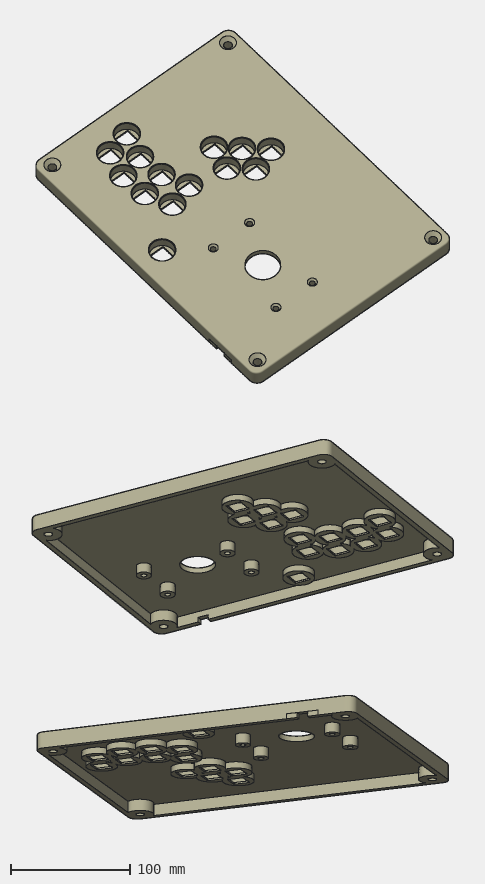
import cadquery as cq

length = 288.4
width = 217.7
height = 14.7
corner_radius = 8.0
edge_rounding = 1.7
wall = 5.0
top_thickness = 5.0

case_screw_inset = 12.0
case_screw_hole = 7.2
case_screw_head = 14.0
case_boss = 23.0

joystick_x = 60.8
joystick_y = -30.0
joystick_opening = 30.0
joystick_screw_span_x = 80.7
joystick_screw_span_y = 40.0
joystick_screw_hole = 5.0
joystick_screw_head = 8.5
joystick_boss = 12.7
joystick_boss_bottom = 1.2

button_recess = 22.0
button_rim_chamfer = 0.5
button_depth = 9.0
button_cup = 26.5
cup_floor = 1.5
switch_side = 14.0

port_x = 98.0
port_height = 4.3
port_recess_length = 28.5
port_recess_depth = 0.1
port_opening_length = 9.5

finger_buttons = [(-116.0, -28.5), (-90.8, -35.5), (-65.2, -33.7), (-41.8, -23.5)]
finger_pair_step = (5.8, -23.5)
upper_buttons = [(-25.5, 52.8), (-41.8, 35.0)]
upper_pair_step = (7.2, -22.8)
single_buttons = [(-58.0, 18.0), (-5.8, -84.0)]


def with_partners(places, step):
    """Return the places together with a copy of each moved by step."""
    return places + [(x + step[0], y + step[1]) for x, y in places]


def rods(places, diameter, bottom, top):
    """Round rods at the given places, from the bottom level to the top level."""
    first, *others = [
        cq.Workplane("XY", origin=(x, y, bottom)).circle(diameter / 2).extrude(top - bottom)
        for x, y in places
    ]
    for other in others:
        first = first.union(other)
    return first


def countersinks(places, mouth, depth):
    """45 degree cones that open to the mouth diameter at the top face."""
    return (
        cq.Workplane("XY").workplane(offset=height)
        .pushPoints(places).circle(mouth / 2).extrude(-depth, taper=45)
    )


def outer_block():
    """Plain rounded block that fills the case."""
    block = cq.Workplane("XY").box(length, width, height, centered=(True, True, False))
    block = block.edges("|Z").fillet(corner_radius)
    return block.faces(">Z").edges().fillet(edge_rounding)


def port_cut():
    """Shallow recess in the front face, with a smaller opening through the wall."""
    port_bottom = cq.Workplane("XY", origin=(port_x, -width / 2, 0))
    from_front = (True, False, False)
    recess = port_bottom.box(port_recess_length, port_recess_depth, port_height, centered=from_front)
    opening = port_bottom.box(port_opening_length, wall, port_height, centered=from_front)
    return recess.union(opening)


def corner_places(center_x, center_y, span_x, span_y):
    """Corners of a rectangle about a center."""
    return [
        (center_x + side_x * span_x / 2, center_y + side_y * span_y / 2)
        for side_x in (-1, 1) for side_y in (-1, 1)
    ]


buttons = (
    with_partners(finger_buttons, finger_pair_step)
    + with_partners(upper_buttons, upper_pair_step)
    + single_buttons
)
case_screws = corner_places(0, 0, length - 2 * case_screw_inset, width - 2 * case_screw_inset)
joystick_screws = corner_places(joystick_x, joystick_y, joystick_screw_span_x, joystick_screw_span_y)
ceiling = height - top_thickness
recess_floor = height - button_depth

block = outer_block()
cavity = cq.Workplane("XY").box(
    length - 2 * wall, width - 2 * wall, ceiling, centered=(True, True, False)
)
body = block.cut(cavity).cut(port_cut())

body = body.union(rods(case_screws, case_boss, 0, ceiling).intersect(block))
body = body.union(rods(joystick_screws, joystick_boss, joystick_boss_bottom, ceiling))
body = body.union(rods(buttons, button_cup, recess_floor - cup_floor, ceiling))

button_mouth = button_recess + 2 * button_rim_chamfer
switches = cq.Workplane("XY").pushPoints(buttons).rect(switch_side, switch_side).extrude(height)
body = body.cut(rods(buttons, button_recess, recess_floor, height))
body = body.cut(countersinks(buttons, button_mouth, button_rim_chamfer))
body = body.cut(switches)

body = body.cut(rods([(joystick_x, joystick_y)], joystick_opening, 0, height))
for places, hole, head in (
    (case_screws, case_screw_hole, case_screw_head),
    (joystick_screws, joystick_screw_hole, joystick_screw_head),
):
    body = body.cut(rods(places, hole, 0, height))
    body = body.cut(countersinks(places, head, (head - hole) / 2))

result = body